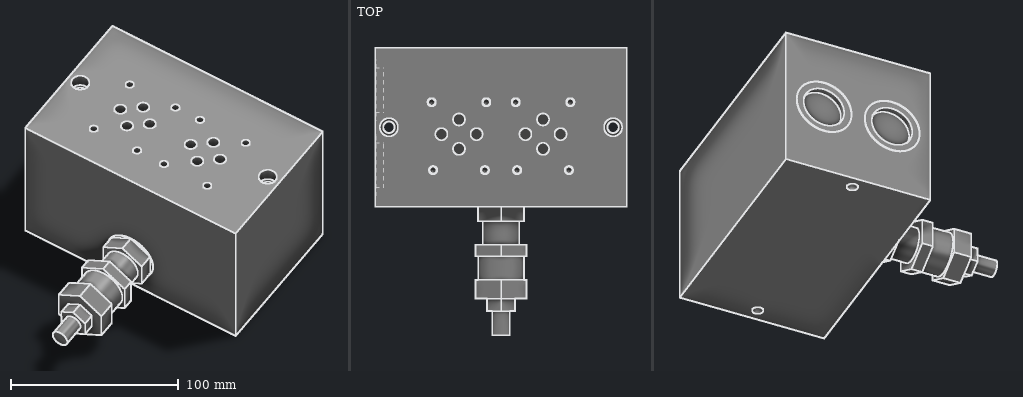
import cadquery as cq
import math

OVERALL_DEPTH = 171.5
BLOCK_LENGTH = 150.0
BLOCK_DEPTH = 95.0
BLOCK_HEIGHT = BLOCK_DEPTH

MOUNT_EDGE_DISTANCE = 8.2
MOUNT_HOLE_DIAMETER = 6.7
MOUNT_COUNTERBORE_DIAMETER = 10.8
MOUNT_COUNTERBORE_DEPTH = 8.5

INTERFACE_OFFSET_X = 25.0
FRONT_BOLT_Y = 22.0
BOLT_SPACING_Y = 40.5
FRONT_BOLT_OFFSET_X = 15.5
REAR_BOLT_OFFSET_X = 16.3
FLOW_CENTRE_TO_BOLT_Y = 21.5
FLOW_CENTRE_Y = FRONT_BOLT_Y + FLOW_CENTRE_TO_BOLT_Y
FLOW_OFFSET_X = 10.5
FLOW_OFFSET_Y = 8.7
FLOW_HOLE_DIAMETER = 7.2
FLOW_HOLE_DEPTH = 17.2

THREAD_DIAMETER = 5.0
THREAD_DEPTH = 12.0
DRILL_DIAMETER = 4.1
DRILL_DEPTH = 13.7
DRILL_POINT_ANGLE = 118.0

PORT_FRONT_Y = 25.0
PORT_SPACING_Y = 44.8
PORT_DIAMETER = 26.5
PORT_DEPTH = 5.0
PORT_SPOTFACE_DIAMETER = 36.0
SPOTFACE_DEPTH = 0.5

VALVE_AXIS_Z = 25.0
VALVE_SPOTFACE_DIAMETER = 32.0
SEAT_HEX_FLATS = 27.5
NECK_DIAMETER = 22.0
NUT_FLATS = 30.5
SLEEVE_DIAMETER = SEAT_HEX_FLATS
LOCKNUT_FLATS = 16.8
STEM_DIAMETER = 10.5
HEX_HALF_CORNER_ANGLE = 30.0

SEAT_HEX_END = 8.5
NECK_END = 22.5
COLLAR_END = 29.5
SLEEVE_END = 43.4
NUT_END = 54.7
LOCKNUT_END = 62.0
STEM_END = OVERALL_DEPTH - BLOCK_DEPTH


def top_plane(height):
    return cq.Workplane("XY").workplane(offset=height)


def front_plane(distance):
    """Plane square to the valve axis, its normal toward -Y, `distance` in front of the block."""
    return cq.Workplane(cq.Plane(origin=(0, -distance, VALVE_AXIS_Z), xDir=(1, 0, 0), normal=(0, -1, 0)))


def hole_from_top(points, diameter, depth):
    return top_plane(BLOCK_HEIGHT - depth).pushPoints(points).circle(diameter / 2).extrude(depth)


def mounting_holes():
    offset = BLOCK_LENGTH / 2 - MOUNT_EDGE_DISTANCE
    points = [(side * offset, BLOCK_DEPTH / 2) for side in (-1, 1)]
    through = hole_from_top(points, MOUNT_HOLE_DIAMETER, BLOCK_HEIGHT)
    return through.union(hole_from_top(points, MOUNT_COUNTERBORE_DIAMETER, MOUNT_COUNTERBORE_DEPTH))


def tapped_hole(x, y):
    """Thread bore, narrower tap drill below it and the cone left by the drill point."""
    thread_radius = THREAD_DIAMETER / 2
    drill_radius = DRILL_DIAMETER / 2
    point_length = drill_radius / math.tan(math.radians(DRILL_POINT_ANGLE / 2))
    half_section = [
        (0, 0),
        (thread_radius, 0),
        (thread_radius, -THREAD_DEPTH),
        (drill_radius, -THREAD_DEPTH),
        (drill_radius, -DRILL_DEPTH),
        (0, -DRILL_DEPTH - point_length),
    ]
    profile = cq.Workplane("XZ").polyline(half_section).close()
    return profile.revolve(360, (0, 0, 0), (0, 1, 0)).translate((x, y, BLOCK_HEIGHT))


def cut_valve_interface(block, centre_x):
    """Four bolt holes around a diamond of four flow holes."""
    flow_points = []
    for side in (-1, 1):
        flow_points.append((centre_x + side * FLOW_OFFSET_X, FLOW_CENTRE_Y))
        flow_points.append((centre_x, FLOW_CENTRE_Y + side * FLOW_OFFSET_Y))
        block = block.cut(tapped_hole(centre_x + side * FRONT_BOLT_OFFSET_X, FRONT_BOLT_Y))
        block = block.cut(tapped_hole(centre_x + side * REAR_BOLT_OFFSET_X, FRONT_BOLT_Y + BOLT_SPACING_Y))
    return block.cut(hole_from_top(flow_points, FLOW_HOLE_DIAMETER, FLOW_HOLE_DEPTH))


def end_port(y):
    """Shallow spotface with the port bore in its middle, entering from the -X end."""
    face = cq.Workplane("YZ", origin=(-BLOCK_LENGTH / 2, y, BLOCK_HEIGHT / 2))
    spotface = face.circle(PORT_SPOTFACE_DIAMETER / 2).extrude(SPOTFACE_DEPTH)
    return spotface.union(face.circle(PORT_DIAMETER / 2).extrude(PORT_DEPTH))


def valve_spotface():
    return front_plane(-SPOTFACE_DEPTH).circle(VALVE_SPOTFACE_DIAMETER / 2).extrude(SPOTFACE_DEPTH)


def make_block():
    block = cq.Workplane("XY").box(BLOCK_LENGTH, BLOCK_DEPTH, BLOCK_HEIGHT, centered=(True, False, False))
    block = block.cut(mounting_holes())
    for side in (-1, 1):
        block = cut_valve_interface(block, side * INTERFACE_OFFSET_X)
    for y in (PORT_FRONT_Y, PORT_FRONT_Y + PORT_SPACING_Y):
        block = block.cut(end_port(y))
    return block.cut(valve_spotface())


def round_section(start, end, diameter):
    return front_plane(start).circle(diameter / 2).extrude(end - start)


def hex_section(start, end, across_flats):
    """Hexagonal prism with corners pointing up and down."""
    across_corners = across_flats / math.cos(math.radians(HEX_HALF_CORNER_ANGLE))
    return front_plane(start).transformed(rotate=(0, 0, 90)).polygon(6, across_corners).extrude(end - start)


def make_valve():
    """One stepped solid whose seat hexagon rests on the floor of the spotface."""
    valve = hex_section(-SPOTFACE_DEPTH, SEAT_HEX_END, SEAT_HEX_FLATS)
    valve = valve.union(round_section(SEAT_HEX_END, NECK_END, NECK_DIAMETER))
    valve = valve.union(hex_section(NECK_END, COLLAR_END, NUT_FLATS))
    valve = valve.union(round_section(COLLAR_END, SLEEVE_END, SLEEVE_DIAMETER))
    valve = valve.union(hex_section(SLEEVE_END, NUT_END, NUT_FLATS))
    valve = valve.union(hex_section(NUT_END, LOCKNUT_END, LOCKNUT_FLATS))
    return valve.union(round_section(LOCKNUT_END, STEM_END, STEM_DIAMETER))


block = make_block()
valve = make_valve()

result = cq.Compound.makeCompound([block.solids().val(), valve.solids().val()])